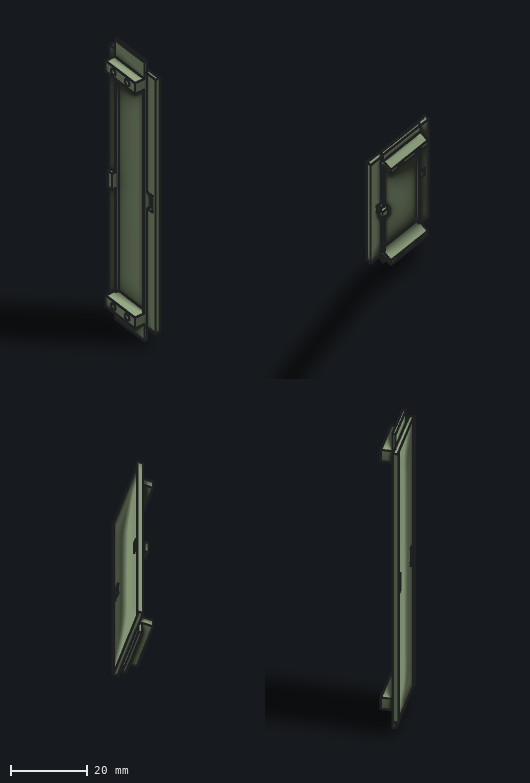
import cadquery as cq

plate_width = 19.9
plate_length = 81.8
plate_front = 1.5
lip_width = 0.7
lip_height = 0.3

channel_width = 12.7
channel_length = 89.7
channel_front = 2.4
wall = 0.5

block_height = 3.5
block_center = 37.8
block_front = 5.6
hole_diameter = 1.9
hole_spacing = 6.0

latch_length = 5.2
hook_reach = 1.4
hook_back = 2.7
hook_front = 3.8
right_slot_width = 2.2
left_slot_width = hook_reach


def box(x_center, width, back, front, z_center, height):
    """Box centred in X and Z, reaching from depth back to depth front."""
    depth = front - back
    return cq.Workplane("XY").box(width, depth, height).translate(
        (x_center, -(back + front) / 2, z_center)
    )


def make_plate():
    plate = box(0, plate_width, 0, plate_front, 0, plate_length)
    recess = box(0, plate_width - 2 * lip_width, 0, lip_height, 0, plate_length)
    return plate.cut(recess)


def make_channel():
    channel = box(0, channel_width, plate_front, channel_front, 0, channel_length)
    pocket_length = 2 * block_center - block_height
    pocket = box(0, channel_width - 2 * wall, plate_front, channel_front, 0, pocket_length)
    return channel, pocket


def make_screw_block(z_center):
    block = box(0, channel_width, plate_front, block_front, z_center, block_height)
    holes = (
        cq.Workplane("XZ", origin=(0, -block_front, z_center))
        .pushPoints([(-hole_spacing / 2, 0), (hole_spacing / 2, 0)])
        .circle(hole_diameter / 2)
        .extrude(-(block_front - channel_front))
    )
    return block.cut(holes)


def make_latch():
    wall_outside = -channel_width / 2
    riser = box(wall_outside + wall / 2, wall, plate_front, hook_front, 0, latch_length)
    hook = box(wall_outside - hook_reach / 2, hook_reach, hook_back, hook_front, 0, latch_length)
    return riser.union(hook)


def make_slot(side, slot_width):
    x_center = side * (channel_width + slot_width) / 2
    return box(x_center, slot_width, 0, plate_front, 0, latch_length)


channel, pocket = make_channel()
result = make_plate().union(channel).cut(pocket).union(make_latch())
for side, slot_width in ((-1, left_slot_width), (1, right_slot_width)):
    result = result.union(make_screw_block(side * block_center))
    result = result.cut(make_slot(side, slot_width))